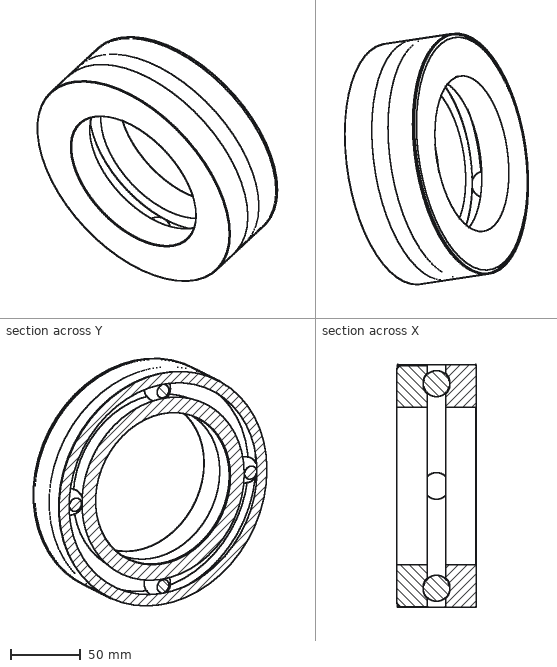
import cadquery as cq
import math


OUTER_DIAMETER = 174.62
BORE_DIAMETER = 112.71
OVERALL_LENGTH = 57.15
WASHER_THICKNESS = 22.0
BAND_INNER_DIAMETER = 173.5
BAND_END = 56.8
EDGE_CHAMFER = 0.505
REAR_WASHER_DIAMETER = 173.25
REAR_CHAMFER_LENGTH = 2.05
REAR_CHAMFER_DEPTH = 2.286
BALL_RADIUS = 9.525
PITCH_RADIUS = 73.4
BALL_COUNT = 4

outer_radius = OUTER_DIAMETER / 2
bore_radius = BORE_DIAMETER / 2
band_inner_radius = BAND_INNER_DIAMETER / 2
rear_radius = REAR_WASHER_DIAMETER / 2
rear_washer_start = OVERALL_LENGTH - WASHER_THICKNESS
ball_plane = OVERALL_LENGTH / 2


def revolve_ring(profile):
    """Revolve a closed (radius, Y) profile about the Y axis."""
    return cq.Workplane("XY").polyline(profile).close().revolve(360, (0, 0, 0), (0, 1, 0))


def make_raceway():
    """Torus swept by the balls, which leaves a groove in each washer."""
    return (
        cq.Workplane("XY")
        .center(PITCH_RADIUS, ball_plane)
        .circle(BALL_RADIUS)
        .revolve(360, (-PITCH_RADIUS, 0, 0), (-PITCH_RADIUS, 1, 0))
    )


def make_banded_washer():
    """Front washer with its band, chamfered at the bore, the front rim and the band end."""
    profile = [
        (bore_radius + EDGE_CHAMFER, 0),
        (outer_radius - EDGE_CHAMFER, 0),
        (outer_radius, EDGE_CHAMFER),
        (outer_radius, BAND_END - EDGE_CHAMFER),
        (outer_radius - EDGE_CHAMFER, BAND_END),
        (band_inner_radius, BAND_END),
        (band_inner_radius, WASHER_THICKNESS),
        (bore_radius, WASHER_THICKNESS),
        (bore_radius, EDGE_CHAMFER),
    ]
    return revolve_ring(profile).cut(make_raceway())


def make_rear_washer():
    """Rear washer, loose inside the band, with a chamfered rear rim."""
    profile = [
        (bore_radius, rear_washer_start),
        (rear_radius, rear_washer_start),
        (rear_radius, OVERALL_LENGTH - REAR_CHAMFER_LENGTH),
        (rear_radius - REAR_CHAMFER_DEPTH, OVERALL_LENGTH),
        (bore_radius, OVERALL_LENGTH),
    ]
    return revolve_ring(profile).cut(make_raceway())


def make_ball(angle):
    """Ball on the pitch circle, at an angle measured from +X towards +Z."""
    x = PITCH_RADIUS * math.cos(angle)
    z = PITCH_RADIUS * math.sin(angle)
    return cq.Workplane("XY").sphere(BALL_RADIUS).translate((x, ball_plane, z))


banded_washer = make_banded_washer()
rear_washer = make_rear_washer()
balls = [make_ball(2 * math.pi * index / BALL_COUNT) for index in range(BALL_COUNT)]

result = cq.Compound.makeCompound(
    [banded_washer.val(), rear_washer.val(), *[ball.val() for ball in balls]]
)